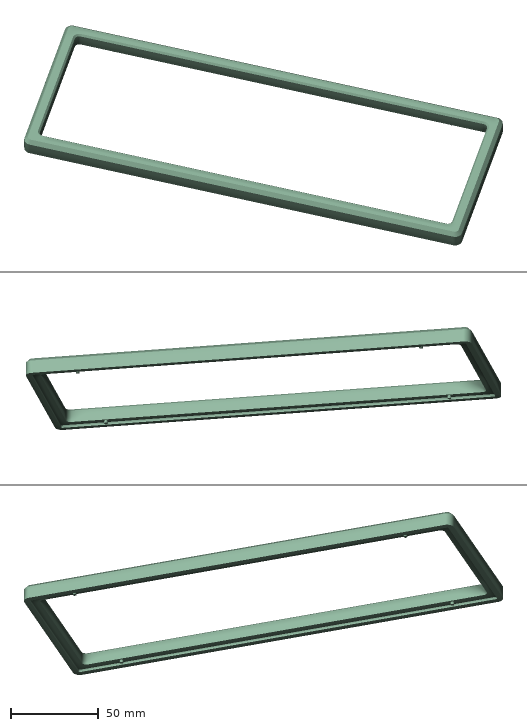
import cadquery as cq

length = 259.0
width = 92.2
height = 9.5

outer_corner_radius = 4.1
outer_bevel = 2.0

window_inset = 7.5
window_corner_radius = 2.5
window_bevel = 1.0

rim_thickness = 3.4
rebate_height = 1.5
rebate_corner_radius = outer_corner_radius - rim_thickness

peg_diameter = 2.0
peg_half_spacing = 99.7
peg_inset = (rim_thickness + window_inset) / 2


def rounded_block(inset, corner_radius, block_height):
    """Block standing on Z = 0, inset from the outer sides, with rounded vertical edges."""
    block = cq.Workplane("XY").box(
        length - 2 * inset,
        width - 2 * inset,
        block_height,
        centered=(True, True, False),
    )
    return block.edges("|Z").fillet(corner_radius)


def frame():
    """Beveled outer body with the flared window cut through it."""
    body = rounded_block(0, outer_corner_radius, height)
    body = body.faces(">Z").edges().chamfer(outer_bevel)
    body = body.cut(rounded_block(window_inset, window_corner_radius, height))
    window_edge = body.faces(">Z").wires(cq.selectors.LengthNthSelector(0))
    return window_edge.chamfer(window_bevel)


def rebate():
    """Shallow recess under the window lip."""
    return rounded_block(rim_thickness, rebate_corner_radius, rebate_height)


def pegs():
    """Four pegs from the underside plane up to the rebate ceiling."""
    peg_y = width / 2 - peg_inset
    return (
        cq.Workplane("XY")
        .rect(2 * peg_half_spacing, 2 * peg_y, forConstruction=True)
        .vertices()
        .circle(peg_diameter / 2)
        .extrude(rebate_height)
    )


result = frame().cut(rebate()).union(pegs())